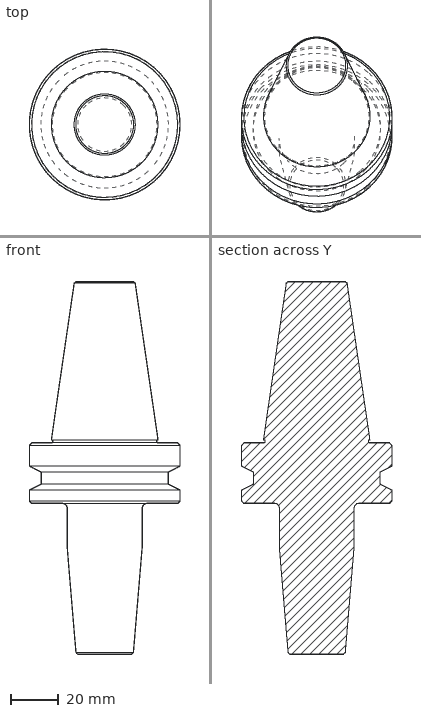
import cadquery as cq

total_length = 155.4
taper_length = 65.5
neck_length = 1.7
gauge_band_height = 0.6
flange_height = 25.3

gauge_diameter = 44.5
taper_rate = 7 / 24
neck_diameter = 43.5
flange_diameter = 63.0
groove_diameter = 53.1
nose_diameter = 31.4
nose_tip_diameter = 24.0

upper_rim_height = 9.8
groove_flank_height = 2.5
groove_floor_height = 5.0

nose_cone_length = 44.8

flange_bottom_chamfer = 1.0
flange_top_chamfer = 1.1
taper_end_chamfer = 0.6
nose_tip_chamfer = 0.8
nose_root_fillet = 2.0
neck_root_fillet = 0.5

gauge_radius = gauge_diameter / 2
neck_radius = neck_diameter / 2
taper_end_radius = gauge_radius - taper_length * taper_rate / 2
flange_radius = flange_diameter / 2
groove_radius = groove_diameter / 2
nose_radius = nose_diameter / 2
nose_tip_radius = nose_tip_diameter / 2

gauge_z = total_length - taper_length
flange_top_z = gauge_z - neck_length
flange_bottom_z = flange_top_z - flange_height
upper_rim_bottom_z = flange_top_z - upper_rim_height
groove_floor_top_z = upper_rim_bottom_z - groove_flank_height
groove_floor_bottom_z = groove_floor_top_z - groove_floor_height
lower_rim_top_z = groove_floor_bottom_z - groove_flank_height


def make_nose():
    """Cylinder with a slender cone below it, chamfered at the tip."""
    nose = (
        cq.Workplane("XZ")
        .lineTo(nose_tip_radius, 0)
        .lineTo(nose_radius, nose_cone_length)
        .lineTo(nose_radius, flange_bottom_z)
        .lineTo(0, flange_bottom_z)
        .close()
        .revolve(360, (0, 0, 0), (0, 1, 0))
    )
    return nose.faces("<Z").edges().chamfer(nose_tip_chamfer)


def make_flange():
    """Disc with a V-flanked gripper groove and chamfered outer edges."""
    flange = (
        cq.Workplane("XZ")
        .moveTo(0, flange_bottom_z)
        .lineTo(flange_radius, flange_bottom_z)
        .lineTo(flange_radius, lower_rim_top_z)
        .lineTo(groove_radius, groove_floor_bottom_z)
        .lineTo(groove_radius, groove_floor_top_z)
        .lineTo(flange_radius, upper_rim_bottom_z)
        .lineTo(flange_radius, flange_top_z)
        .lineTo(0, flange_top_z)
        .close()
        .revolve(360, (0, 0, 0), (0, 1, 0))
    )
    flange = flange.faces("<Z").edges().chamfer(flange_bottom_chamfer)
    return flange.faces(">Z").edges().chamfer(flange_top_chamfer)


def make_taper():
    """Spindle taper on a short, slightly undercut neck with a filleted root."""
    taper = (
        cq.Workplane("XZ")
        .moveTo(0, flange_top_z)
        .lineTo(neck_radius + neck_root_fillet, flange_top_z)
        .radiusArc((neck_radius, flange_top_z + neck_root_fillet), neck_root_fillet)
        .lineTo(neck_radius, gauge_z - gauge_band_height)
        .lineTo(gauge_radius, gauge_z - gauge_band_height)
        .lineTo(gauge_radius, gauge_z)
        .lineTo(taper_end_radius, total_length)
        .lineTo(0, total_length)
        .close()
        .revolve(360, (0, 0, 0), (0, 1, 0))
    )
    return taper.faces(">Z").edges().chamfer(taper_end_chamfer)


def make_nose_root():
    """Concave fillet ring where the nose meets the flange."""
    return (
        cq.Workplane("XZ")
        .moveTo(0, flange_bottom_z)
        .lineTo(nose_radius + nose_root_fillet, flange_bottom_z)
        .radiusArc((nose_radius, flange_bottom_z - nose_root_fillet), -nose_root_fillet)
        .lineTo(0, flange_bottom_z - nose_root_fillet)
        .close()
        .revolve(360, (0, 0, 0), (0, 1, 0))
    )


result = make_flange().union(make_nose()).union(make_taper()).union(make_nose_root())